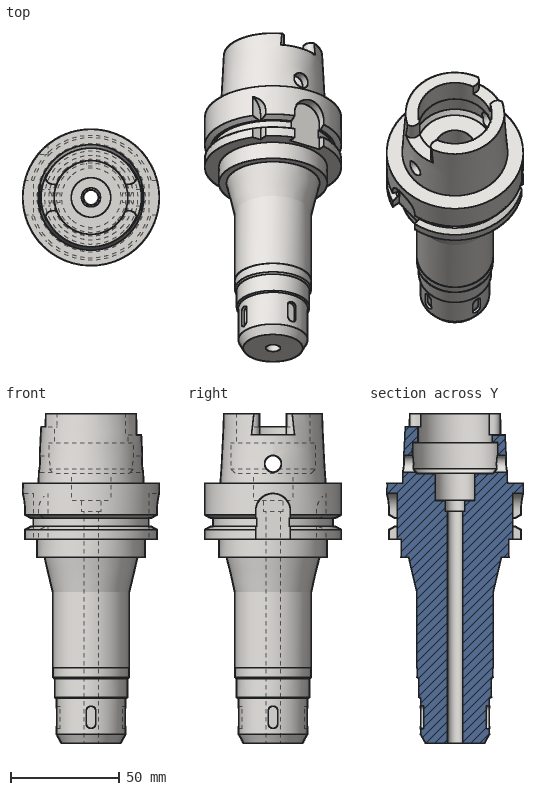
import cadquery as cq
import math


SHANK_LENGTH = 32.0
SHANK_BASE_RADIUS = 24.35
SHANK_TIP_RADIUS = 22.75

FLANGE_RADIUS = 31.5
FLANGE_LENGTH = 26.0
GROOVE_RADIUS = 27.75
GROOVE_SHOULDER_RADIUS = 28.8
GROOVE_CENTRE_Z = -18.1
GROOVE_FLOOR_WIDTH = 3.75
GROOVE_MOUTH_WIDTH = 6.8

COLLAR_RADIUS = 25.0
COLLAR_END_Z = -34.3
NECK_START_RADIUS = 21.5
NECK_END_Z = -50.2
BODY_RADIUS = 17.75
BAND_START_Z = -85.1
BAND_RADIUS = 17.6
BAND_END_Z = -89.5
BAND_CHAMFER_LENGTH = 0.8

NUT_RING_RADIUS = 16.85
NUT_RING_END_Z = -98.8
NUT_RADIUS = 16.0
NUT_RING_CHAMFER_LENGTH = 0.5
NUT_END_Z = -120.0
NUT_NOSE_RADIUS = 13.7
NUT_NOSE_LENGTH = 4.2
SPANNER_SLOT_WIDTH = 4.4
SPANNER_SLOT_LENGTH = 10.2
SPANNER_SLOT_CENTRE_Z = -108.0
SPANNER_SLOT_DEPTH = 1.5
SPANNER_SLOT_COUNT = 4

MOUTH_RADIUS = 17.0
MOUTH_DEPTH = 13.4
CHAMBER_RADIUS = 19.5
CHAMBER_DEPTH = 27.5
CHAMBER_CHAMFER = 2.0
TUBE_SEAT_RADIUS = 9.1
TUBE_SEAT_DEPTH = 40.0
PASSAGE_ENTRY_RADIUS = 4.4
PASSAGE_ENTRY_DEPTH = 45.0
PASSAGE_RADIUS = 3.4

NOTCH_WIDTH = 12.3
NOTCH_SHOULDER_X = 21.0
NOTCH_CORNER_RADIUS = 3.25
NOTCH_DEPTH_LEFT = 6.0
NOTCH_DEPTH_RIGHT = 9.8

CROSS_HOLE_RADIUS = 3.8
CROSS_HOLE_Z = 8.85

KEYWAY_RADIUS = 8.0
KEYWAY_FLOOR_X = 26.7
KEYWAY_ARCH_Z = -12.8
ORIENTATION_NOTCH_X = 20.0
ORIENTATION_NOTCH_EDGE_Y = 20.0
ORIENTATION_NOTCH_RADIUS = 9.0
ORIENTATION_NOTCH_ARCH_Z = -12.6

CLEARANCE = 5.0


def revolve_outline(outline):
    """Turn a closed outline of (radius, z) points about the Z axis."""
    return cq.Workplane("XZ").polyline(outline).close().revolve(360, (0, 0, 0), (0, 1, 0))


def make_outer_body():
    """Solid turned envelope from the shank tip down to the nut nose."""
    floor_half = GROOVE_FLOOR_WIDTH / 2
    mouth_half = GROOVE_MOUTH_WIDTH / 2
    outline = [
        (0, SHANK_LENGTH),
        (SHANK_TIP_RADIUS, SHANK_LENGTH),
        (SHANK_BASE_RADIUS, 0),
        (FLANGE_RADIUS, 0),
        (FLANGE_RADIUS, GROOVE_CENTRE_Z + mouth_half),
        (GROOVE_SHOULDER_RADIUS, GROOVE_CENTRE_Z + floor_half),
        (GROOVE_RADIUS, GROOVE_CENTRE_Z + floor_half),
        (GROOVE_RADIUS, GROOVE_CENTRE_Z - floor_half),
        (GROOVE_SHOULDER_RADIUS, GROOVE_CENTRE_Z - floor_half),
        (FLANGE_RADIUS, GROOVE_CENTRE_Z - mouth_half),
        (FLANGE_RADIUS, -FLANGE_LENGTH),
        (COLLAR_RADIUS, -FLANGE_LENGTH),
        (COLLAR_RADIUS, COLLAR_END_Z),
        (NECK_START_RADIUS, COLLAR_END_Z),
        (BODY_RADIUS, NECK_END_Z),
        (BODY_RADIUS, BAND_START_Z),
        (BAND_RADIUS, BAND_START_Z),
        (BAND_RADIUS, BAND_END_Z),
        (NUT_RING_RADIUS, BAND_END_Z - BAND_CHAMFER_LENGTH),
        (NUT_RING_RADIUS, NUT_RING_END_Z),
        (NUT_RADIUS, NUT_RING_END_Z - NUT_RING_CHAMFER_LENGTH),
        (NUT_RADIUS, NUT_END_Z + NUT_NOSE_LENGTH),
        (NUT_NOSE_RADIUS, NUT_END_Z),
        (0, NUT_END_Z),
    ]
    return revolve_outline(outline)


def make_bore():
    """Stepped bore running through the whole length."""
    outline = [
        (0, SHANK_LENGTH),
        (MOUTH_RADIUS, SHANK_LENGTH),
        (MOUTH_RADIUS, SHANK_LENGTH - MOUTH_DEPTH),
        (CHAMBER_RADIUS, SHANK_LENGTH - MOUTH_DEPTH),
        (CHAMBER_RADIUS, SHANK_LENGTH - CHAMBER_DEPTH + CHAMBER_CHAMFER),
        (CHAMBER_RADIUS - CHAMBER_CHAMFER, SHANK_LENGTH - CHAMBER_DEPTH),
        (TUBE_SEAT_RADIUS, SHANK_LENGTH - CHAMBER_DEPTH),
        (TUBE_SEAT_RADIUS, SHANK_LENGTH - TUBE_SEAT_DEPTH),
        (PASSAGE_ENTRY_RADIUS, SHANK_LENGTH - TUBE_SEAT_DEPTH),
        (PASSAGE_ENTRY_RADIUS, SHANK_LENGTH - PASSAGE_ENTRY_DEPTH),
        (PASSAGE_RADIUS, SHANK_LENGTH - PASSAGE_ENTRY_DEPTH),
        (PASSAGE_RADIUS, NUT_END_Z),
        (0, NUT_END_Z),
    ]
    return revolve_outline(outline)


def make_driving_notch(side, depth):
    """Radial notch on side +1 or -1 of X, flaring to a flat shoulder at its outer end."""
    half_width = NOTCH_WIDTH / 2
    corner_x = NOTCH_SHOULDER_X - NOTCH_CORNER_RADIUS
    corner_y = half_width + NOTCH_CORNER_RADIUS
    mid_x = corner_x + NOTCH_CORNER_RADIUS * math.sin(math.pi / 4)
    mid_y = corner_y - NOTCH_CORNER_RADIUS * math.cos(math.pi / 4)
    outer_x = SHANK_BASE_RADIUS + CLEARANCE
    outer_y = corner_y + CLEARANCE
    return (
        cq.Workplane("XY", origin=(0, 0, SHANK_LENGTH - depth))
        .moveTo(0, -half_width)
        .lineTo(side * corner_x, -half_width)
        .threePointArc((side * mid_x, -mid_y), (side * NOTCH_SHOULDER_X, -corner_y))
        .lineTo(side * NOTCH_SHOULDER_X, -outer_y)
        .lineTo(side * outer_x, -outer_y)
        .lineTo(side * outer_x, outer_y)
        .lineTo(side * NOTCH_SHOULDER_X, outer_y)
        .lineTo(side * NOTCH_SHOULDER_X, corner_y)
        .threePointArc((side * mid_x, mid_y), (side * corner_x, half_width))
        .lineTo(0, half_width)
        .close()
        .extrude(depth)
    )


def make_keyway(side, floor_x, centre_y, radius, arch_z):
    """Round-topped keyway with a flat floor, open through the underside of the flange."""
    return (
        cq.Workplane("YZ", origin=(side * floor_x, 0, 0))
        .moveTo(centre_y - radius, -FLANGE_LENGTH)
        .lineTo(centre_y - radius, arch_z)
        .threePointArc((centre_y, arch_z + radius), (centre_y + radius, arch_z))
        .lineTo(centre_y + radius, -FLANGE_LENGTH)
        .close()
        .extrude(side * FLANGE_RADIUS)
    )


def make_cross_hole():
    """Round hole along X through both walls of the shank."""
    return (
        cq.Workplane("YZ", origin=(0, 0, CROSS_HOLE_Z))
        .circle(CROSS_HOLE_RADIUS)
        .extrude(SHANK_BASE_RADIUS + CLEARANCE, both=True)
    )


def make_spanner_slot(angle):
    """Upright round-ended slot in the nut, at an angle in degrees about Z from +X."""
    return (
        cq.Workplane("YZ", origin=(NUT_RADIUS - SPANNER_SLOT_DEPTH, 0, SPANNER_SLOT_CENTRE_Z))
        .slot2D(SPANNER_SLOT_LENGTH, SPANNER_SLOT_WIDTH, angle=90)
        .extrude(SPANNER_SLOT_DEPTH + CLEARANCE)
        .rotate((0, 0, 0), (0, 0, 1), angle)
    )


result = make_outer_body().cut(make_bore())
result = result.cut(make_driving_notch(-1, NOTCH_DEPTH_LEFT))
result = result.cut(make_driving_notch(1, NOTCH_DEPTH_RIGHT))
result = result.cut(make_cross_hole())
for keyway_side in (-1, 1):
    result = result.cut(make_keyway(keyway_side, KEYWAY_FLOOR_X, 0, KEYWAY_RADIUS, KEYWAY_ARCH_Z))
orientation_notch = make_keyway(
    -1,
    ORIENTATION_NOTCH_X,
    ORIENTATION_NOTCH_EDGE_Y + ORIENTATION_NOTCH_RADIUS,
    ORIENTATION_NOTCH_RADIUS,
    ORIENTATION_NOTCH_ARCH_Z,
)
result = result.cut(orientation_notch)
for slot_index in range(SPANNER_SLOT_COUNT):
    result = result.cut(make_spanner_slot(slot_index * 360 / SPANNER_SLOT_COUNT))